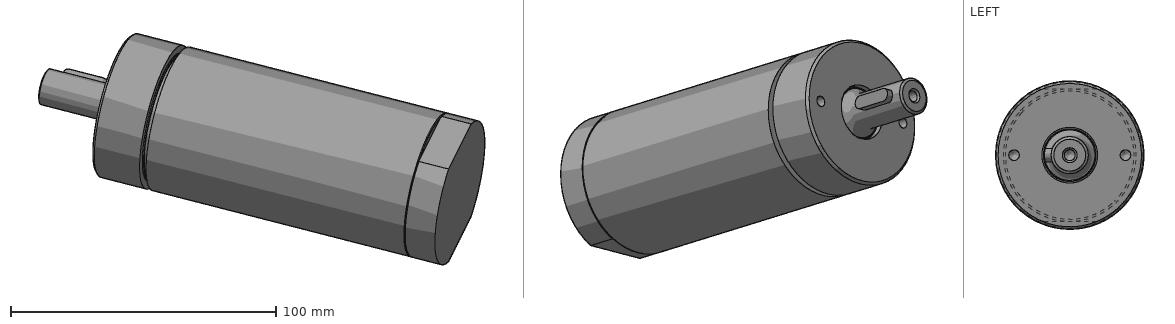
import cadquery as cq
import math


body_diameter = 56.0
rear_face_x = 137.3
edge_chamfer = 1.0
flange_length = 19.1
groove_end_x = 21.7
groove_step_diameter = 50.0
groove_step_length = 0.5
groove_diameter = 48.38

cap_length = 12.0
cap_flat_width = 50.0
joint_chamfer = 0.4

shaft_diameter = 14.0
shaft_length = 29.2
shaft_chamfer_height = 1.0
shaft_chamfer_angle = 30.0
flare_diameter = 19.0
shoulder_diameter = 19.85
flare_radius = 4.0
flare_start = 2.0
recess_diameter = 21.0
recess_depth = 3.0

centre_hole_diameter = 4.13
centre_hole_depth = 12.0
centre_sink_diameter = 5.6
drill_tip_angle = 120.0

key_width = 5.0
key_length = 18.0
key_setback = 4.6
key_bottom_y = 4.0
key_top_y = 9.5

mount_hole_diameter = 4.0
mount_hole_depth = 8.0
mount_circle_diameter = 42.0

body_radius = body_diameter / 2
shaft_radius = shaft_diameter / 2
shaft_end_x = -shaft_length


def drilled_hole(x, y, diameter, depth):
    """Tool for a hole along +X from the plane at x, with a conical drill tip."""
    radius = diameter / 2
    tip_length = radius / math.tan(math.radians(drill_tip_angle / 2))
    return (
        cq.Workplane("XY", origin=(x, y, 0))
        .polyline([(0, 0), (0, radius), (depth, radius), (depth + tip_length, 0)])
        .close()
        .revolve(360, (0, 0, 0), (1, 0, 0))
    )


def make_housing():
    """Revolved housing with the front recess, the flange groove and the joint at the rear cap."""
    recess_radius = recess_diameter / 2
    step_radius = groove_step_diameter / 2
    groove_radius = groove_diameter / 2
    step_end_x = flange_length + groove_step_length
    cap_x = rear_face_x - cap_length
    profile = [
        (recess_depth, 0),
        (recess_depth, recess_radius),
        (0, recess_radius),
        (0, body_radius - edge_chamfer),
        (edge_chamfer, body_radius),
        (flange_length, body_radius),
        (flange_length, step_radius),
        (step_end_x, step_radius),
        (step_end_x, groove_radius),
        (groove_end_x, groove_radius),
        (groove_end_x, body_radius),
        (cap_x - joint_chamfer, body_radius),
        (cap_x, body_radius - joint_chamfer),
        (cap_x, body_radius),
        (rear_face_x, body_radius),
        (rear_face_x, 0),
    ]
    return cq.Workplane("XY").polyline(profile).close().revolve(360, (0, 0, 0), (1, 0, 0))


def cut_cap_flats(housing):
    """Flatten the top and bottom of the rear cap."""
    band_height = body_radius - cap_flat_width / 2
    for side in (1, -1):
        band = cq.Workplane("XY").box(cap_length, body_diameter, band_height).translate(
            (rear_face_x - cap_length / 2, 0, side * (cap_flat_width / 2 + band_height / 2))
        )
        housing = housing.cut(band)
    return housing


def make_shaft(base_x):
    """Shaft whose root flares out to the floor of the recess at base_x."""
    flare_start_x = -flare_start
    flare_centre_y = shaft_radius + flare_radius
    flare_height = flare_diameter / 2
    shoulder_height = shoulder_diameter / 2
    chamfer_end_x = shaft_end_x + shaft_chamfer_height * math.tan(math.radians(shaft_chamfer_angle))

    def flare_point(y):
        reach = math.sqrt(flare_radius**2 - (flare_centre_y - y) ** 2)
        return (flare_start_x + reach, y)

    flare_end = flare_point(flare_height)
    return (
        cq.Workplane("XY")
        .moveTo(shaft_end_x, 0)
        .lineTo(shaft_end_x, shaft_radius - shaft_chamfer_height)
        .lineTo(chamfer_end_x, shaft_radius)
        .lineTo(flare_start_x, shaft_radius)
        .threePointArc(flare_point((shaft_radius + flare_height) / 2), flare_end)
        .lineTo(flare_end[0], shoulder_height)
        .lineTo(base_x, shoulder_height)
        .lineTo(base_x, 0)
        .close()
        .revolve(360, (0, 0, 0), (1, 0, 0))
    )


def make_key():
    """Key standing on the +Y side of the shaft."""
    centre_x = shaft_end_x + key_setback + key_length / 2
    return (
        cq.Workplane("XZ", origin=(centre_x, key_bottom_y, 0))
        .slot2D(key_length, key_width)
        .extrude(key_bottom_y - key_top_y)
    )


def make_centre_hole():
    """Drilled hole with a 90 degree countersink in the shaft end."""
    sink_depth = (centre_sink_diameter - centre_hole_diameter) / 2
    countersink = (
        cq.Workplane("YZ", origin=(shaft_end_x, 0, 0))
        .circle(centre_sink_diameter / 2)
        .workplane(offset=sink_depth)
        .circle(centre_hole_diameter / 2)
        .loft()
    )
    return drilled_hole(shaft_end_x, 0, centre_hole_diameter, centre_hole_depth).union(countersink)


result = cut_cap_flats(make_housing())
for side in (1, -1):
    mount_y = side * mount_circle_diameter / 2
    result = result.cut(drilled_hole(0, mount_y, mount_hole_diameter, mount_hole_depth))
result = result.union(make_shaft(recess_depth)).union(make_key()).cut(make_centre_hole())